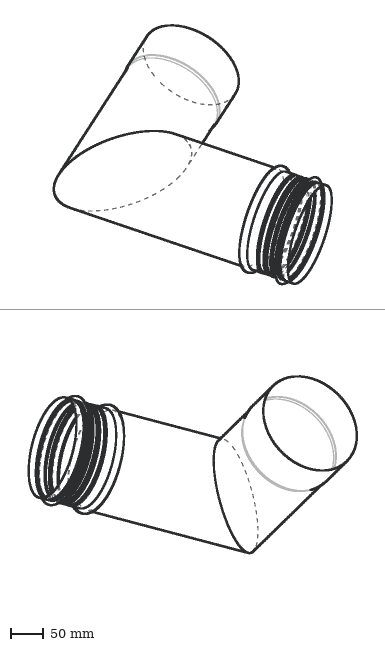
import cadquery as cq

pipe_diameter = 161.5
wall = 0.5
spigot_length = 320.5
socket_length = 250.0
pipe_radius = pipe_diameter / 2
mitre_overrun = pipe_diameter

socket_radius = 82.0
socket_depth = 69.2
socket_bend = 1.5
socket_bend_drop = 0.2
socket_cone = 4.5

bead_diameter = 174.7
bead_offset = 76.0
groove_diameter = 157
groove_width = 17.7
groove_slope = 2.5
groove_offsets = [44.3, 21.5]
bead_radius = bead_diameter / 2 - pipe_radius
groove_radius = groove_diameter / 2

gasket_diameter = 160.5
gasket_width = 10.5
gasket_bevel_length = 3.0
gasket_bevel_depth = 1.2
lip_diameter = 174.7
lip_thickness = 0.5
gasket_radius = gasket_diameter / 2
lip_radius = lip_diameter / 2

spigot_axis = ((0, 0, 0), (1, 0, 0))
socket_axis = ((0, 0, 0), (0, 1, 0))


def spigot_outline(inset):
    """Half section of the spigot leg on XY, with its surface moved inwards by inset."""
    radius = pipe_radius - inset
    bottom = groove_radius - inset
    bead_x = spigot_length - bead_offset
    bead = bead_radius - inset
    outline = (
        cq.Workplane("XY")
        .moveTo(-mitre_overrun, 0)
        .lineTo(-mitre_overrun, radius)
        .lineTo(bead_x - bead, radius)
        .threePointArc((bead_x, radius + bead), (bead_x + bead, radius))
    )
    for offset in groove_offsets:
        start = spigot_length - offset - groove_width / 2
        end = start + groove_width
        outline = (
            outline.lineTo(start, radius)
            .lineTo(start + groove_slope, bottom)
            .lineTo(end - groove_slope, bottom)
            .lineTo(end, radius)
        )
    return outline.lineTo(spigot_length, radius).lineTo(spigot_length, 0).close()


def socket_outline(inset):
    """Half section of the socket leg on XY, with its surface moved inwards by inset."""
    radius = pipe_radius - inset
    socket_start = socket_length - socket_depth
    bend_end = socket_start - socket_bend
    return (
        cq.Workplane("XY")
        .moveTo(0, socket_length)
        .lineTo(socket_radius - inset, socket_length)
        .lineTo(socket_radius - inset, socket_start)
        .tangentArcPoint((socket_radius - socket_bend_drop - inset, bend_end), relative=False)
        .lineTo(radius, bend_end - socket_cone)
        .lineTo(radius, -mitre_overrun)
        .lineTo(0, -mitre_overrun)
        .close()
    )


def corner_wedge():
    """Block covering the spigot side of the mitre plane, which is x = y."""
    reach = 2 * spigot_length
    return (
        cq.Workplane("XY")
        .polyline([(-reach, -reach), (reach, -reach), (reach, reach)])
        .close()
        .extrude(reach, both=True)
    )


def make_spigot_leg():
    outside = spigot_outline(0).revolve(360, *spigot_axis)
    inside = spigot_outline(wall).revolve(360, *spigot_axis)
    return outside.cut(inside).intersect(corner_wedge())


def make_socket_leg():
    outside = socket_outline(0).revolve(360, *socket_axis)
    inside = socket_outline(wall).revolve(360, *socket_axis)
    return outside.cut(inside).cut(corner_wedge())


def make_gasket(offset):
    """Ring seated on the groove bottom, with one edge bevelled."""
    start = spigot_length - offset - gasket_width / 2
    end = start + gasket_width
    return (
        cq.Workplane("XY")
        .moveTo(start, groove_radius)
        .lineTo(start, gasket_radius)
        .lineTo(end - gasket_bevel_length, gasket_radius)
        .lineTo(end, gasket_radius - gasket_bevel_depth)
        .lineTo(end, groove_radius)
        .close()
        .revolve(360, *spigot_axis)
    )


def make_lip_gasket(offset):
    """Gasket with a thin flat sealing lip that ends where the bevel starts."""
    lip_end = spigot_length - offset + gasket_width / 2 - gasket_bevel_length
    lip = (
        cq.Workplane("YZ", origin=(lip_end - lip_thickness, 0, 0))
        .circle(lip_radius)
        .circle(groove_radius)
        .extrude(lip_thickness)
    )
    return make_gasket(offset).union(lip)


spigot_leg = make_spigot_leg()
socket_leg = make_socket_leg()
gasket = make_gasket(groove_offsets[0])
lip_gasket = make_lip_gasket(groove_offsets[1])

result = cq.Compound.makeCompound(
    [spigot_leg.val(), socket_leg.val(), gasket.val(), lip_gasket.val()]
)